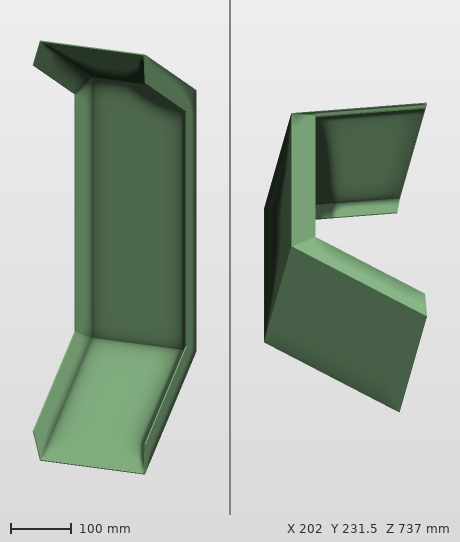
import cadquery as cq
import math

height = 737.0
depth = 231.5
width = 202.0

sheet = 2.0
wing_angle = math.radians(31.1)
straight_flange_depth = 43.0
splayed_flange_depth = 37.5
splay = 15.5

straight_setback = 4.5
splayed_setback = 7.5

left_x = -width / 2
right_x = width / 2
web_left_x = left_x + splay
back_y = depth / 2
front_y = -depth / 2
tip_z = height / 2

tip_y = front_y + sheet * math.sin(wing_angle)
inner_tip_z = tip_z - sheet * math.cos(wing_angle)
spine_z = tip_z - (back_y - tip_y) * math.tan(wing_angle)


def channel_section():
    """Section as (x, offset from the outer face): flat web, splayed left and straight right flange."""
    splay_angle = math.atan2(splay, splayed_flange_depth - sheet)
    slant_sheet = sheet / math.cos(splay_angle)
    return [
        (web_left_x, 0),
        (right_x, 0),
        (right_x, -straight_flange_depth),
        (right_x - sheet, -straight_flange_depth),
        (right_x - sheet, -sheet),
        (web_left_x + slant_sheet, -sheet),
        (left_x + slant_sheet, -splayed_flange_depth),
        (left_x, -splayed_flange_depth),
        (web_left_x, -sheet),
    ]


def bent_channel():
    """Channel with mitred bends at both ends of the spine, overrunning the wing tips."""
    start_y = front_y - straight_flange_depth
    start_z = spine_z + (back_y - start_y) * math.tan(wing_angle)
    path = cq.Workplane("YZ").polyline(
        [(start_y, -start_z), (back_y, -spine_z), (back_y, spine_z), (start_y, start_z)]
    )
    along_wing = cq.Vector(0, math.cos(wing_angle), math.sin(wing_angle))
    start = cq.Plane(origin=(0, start_y, -start_z), xDir=(1, 0, 0), normal=along_wing)
    section = cq.Workplane(start).polyline(channel_section()).close()
    return section.sweep(path, transition="right")


def end_trim(x_from, x_to, flange_depth, setback):
    """Side profile kept between x_from and x_to: square web ends, then the sloping flange ends."""
    corner_y = front_y + setback
    corner_z = (
        spine_z
        + (back_y - corner_y) * math.tan(wing_angle)
        - flange_depth / math.cos(wing_angle)
    )
    lower_end = [(corner_y, -corner_z), (front_y, -inner_tip_z), (tip_y, -tip_z)]
    upper_end = [(y, -z) for y, z in reversed(lower_end)]
    back = [(back_y, -tip_z), (back_y, tip_z)]
    profile = cq.Workplane("YZ", origin=(x_from, 0, 0)).polyline(lower_end + back + upper_end)
    return profile.close().extrude(x_to - x_from)


splayed_side = end_trim(left_x, 0, splayed_flange_depth, splayed_setback)
straight_side = end_trim(0, right_x, straight_flange_depth, straight_setback)
result = bent_channel().intersect(splayed_side.union(straight_side))